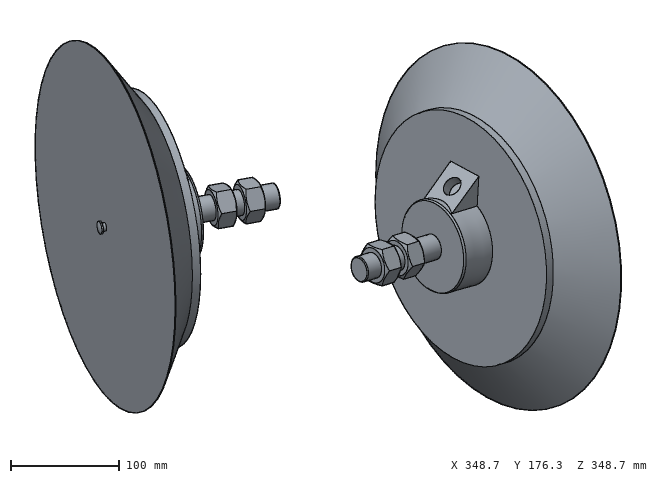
import cadquery as cq
import math


rim_diameter = 348.66
rim_thickness = 1.0
plate_diameter = 244.0
plate_thickness = 8.3
plate_top = 46.4

mould_draft = 0.8

hub_base_diameter = 90.57
hub_top = 80.3
hub_chamfer_height = 2.3
hub_chamfer_width = 0.9

stud_diameter = 24.57
stud_top = 169.6
stud_chamfer = 1.0
nut_across_flats = 36.0
nut_bearing_diameter = 33.6
nut_sides = 6
nut_height = 19.0
nut_bases = [105.4, 133.7]
nut_turns = [8.0, 0.0]
nut_chamfer_angle = 30.0

lug_base_width = 40.3
lug_reach = 70.7
lug_slope = 45.0
lug_turn = 4.6
port_diameter = 18.63
port_radius = 56.5
port_depth = 11.0

pin_diameter = 8.1
pin_head_diameter = 12.2
pin_tip = -6.7
pin_head_thickness = 1.7
pin_dome_height = 1.2


def cylinder(diameter, bottom, top):
    """Cylinder about the Y axis between two heights."""
    plane = cq.Plane(origin=(0, bottom, 0), xDir=(1, 0, 0), normal=(0, 1, 0))
    return cq.Workplane(plane).circle(diameter / 2).extrude(top - bottom)


def revolve_about_y(profile):
    """Full turn of a profile whose coordinates are radius and height."""
    return profile.close().revolve(360, (0, 0, 0), (0, 1, 0))


def make_cup():
    """Flared cup with a thin rim and a short cylindrical plate on top."""
    rim_radius = rim_diameter / 2
    plate_radius = plate_diameter / 2
    profile = (
        cq.Workplane("XY")
        .lineTo(rim_radius, 0)
        .lineTo(rim_radius, rim_thickness)
        .lineTo(plate_radius, plate_top - plate_thickness)
        .lineTo(plate_radius, plate_top)
        .lineTo(0, plate_top)
    )
    return revolve_about_y(profile)


def make_hub():
    """Drafted hub with its top edge chamfered."""
    base_radius = hub_base_diameter / 2
    shoulder = hub_top - hub_chamfer_height
    shoulder_radius = base_radius - (shoulder - plate_top) * math.tan(math.radians(mould_draft))
    profile = (
        cq.Workplane("XY")
        .moveTo(0, plate_top)
        .lineTo(base_radius, plate_top)
        .lineTo(shoulder_radius, shoulder)
        .lineTo(shoulder_radius - hub_chamfer_width, hub_top)
        .lineTo(0, hub_top)
    )
    return revolve_about_y(profile)


def make_stud():
    """Stud rising from the hub, chamfered at its free end."""
    return cylinder(stud_diameter, hub_top, stud_top).faces(">Y").chamfer(stud_chamfer)


def make_nut(base, turn):
    """Hexagon nut with conically chamfered corners at both ends."""
    corner_radius = nut_across_flats / 2 / math.cos(math.pi / nut_sides)
    bearing_radius = nut_bearing_diameter / 2
    chamfer_height = (corner_radius - bearing_radius) * math.tan(math.radians(nut_chamfer_angle))
    top = base + nut_height
    plane = cq.Plane(origin=(0, base, 0), xDir=(1, 0, 0), normal=(0, 1, 0))
    hexagon = cq.Workplane(plane).polygon(nut_sides, 2 * corner_radius).extrude(nut_height)
    envelope = (
        cq.Workplane("XY")
        .moveTo(0, base)
        .lineTo(bearing_radius, base)
        .lineTo(corner_radius, base + chamfer_height)
        .lineTo(corner_radius, top - chamfer_height)
        .lineTo(bearing_radius, top)
        .lineTo(0, top)
    )
    nut = hexagon.intersect(revolve_about_y(envelope))
    return nut.rotate((0, 0, 0), (0, 1, 0), -turn)


def turn_with_lug(shape):
    """Swing a shape from the +Z direction to the lug's direction."""
    return shape.rotate((0, 0, 0), (0, 1, 0), -lug_turn)


def make_lug():
    """Drafted block whose outer end slopes from the hub's side down to the plate."""
    slope = math.tan(math.radians(lug_slope))
    lug_top = hub_top - hub_chamfer_height
    wedge = (
        cq.Workplane("YZ")
        .moveTo(plate_top, 0)
        .lineTo(plate_top, lug_reach)
        .lineTo(lug_top, lug_reach - (lug_top - plate_top) / slope)
        .lineTo(lug_top, 0)
        .close()
        .extrude(lug_base_width / 2, both=True)
    )
    half_base = lug_base_width / 2
    half_top = half_base - (lug_top - plate_top) * math.tan(math.radians(mould_draft))
    drafted_sides = (
        cq.Workplane("XY")
        .moveTo(-half_base, plate_top)
        .lineTo(half_base, plate_top)
        .lineTo(half_top, lug_top)
        .lineTo(-half_top, lug_top)
        .close()
        .extrude(lug_reach)
    )
    return turn_with_lug(wedge.intersect(drafted_sides))


def make_port():
    """Blind hole square to the lug's sloped face."""
    angle = math.radians(lug_slope)
    port_height = plate_top + (lug_reach - port_radius) * math.tan(angle)
    plane = cq.Plane(
        origin=(0, port_height, port_radius),
        xDir=(1, 0, 0),
        normal=(0, math.cos(angle), math.sin(angle)),
    )
    hole = cq.Workplane(plane).circle(port_diameter / 2).extrude(-port_depth)
    return turn_with_lug(hole)


def make_pin():
    """Pin with a wider, domed head."""
    dome_base = pin_tip + pin_dome_height
    head_top = dome_base + pin_head_thickness
    head_radius = pin_head_diameter / 2
    dome_radius = (head_radius**2 + pin_dome_height**2) / (2 * pin_dome_height)
    half_angle = math.asin(head_radius / dome_radius) / 2
    middle = (
        dome_radius * math.sin(half_angle),
        pin_tip + dome_radius * (1 - math.cos(half_angle)),
    )
    head = (
        cq.Workplane("XY")
        .moveTo(0, pin_tip)
        .threePointArc(middle, (head_radius, dome_base))
        .lineTo(head_radius, head_top)
        .lineTo(0, head_top)
    )
    return revolve_about_y(head).union(cylinder(pin_diameter, head_top, 0))


result = make_cup().union(make_hub()).union(make_lug()).cut(make_port())
result = result.union(make_stud()).union(make_pin())
for nut_base, nut_turn in zip(nut_bases, nut_turns):
    result = result.union(make_nut(nut_base, nut_turn))